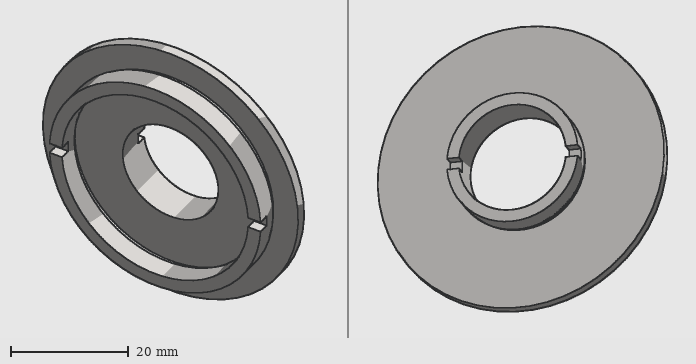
import cadquery as cq

overall_length = 12.0
flange_thickness = 2.0
neck_length = 1.0
collar_length = (overall_length - flange_thickness) / 2 - neck_length

flange_diameter = 50.8
front_collar_diameter = 42.0
front_neck_diameter = 41.0
recess_diameter = 37.05
undercut_diameter = 38.0
rear_collar_diameter = 23.2
rear_neck_diameter = 22.8
bore_diameter = 19.0

slot_width = 2.0
slot_depth = 2.0

flange_rear = flange_thickness / 2
flange_front = -flange_rear
rear_neck_end = flange_rear + neck_length
front_neck_end = flange_front - neck_length
rear_end = rear_neck_end + collar_length
front_end = front_neck_end - collar_length


def disc(diameter, y_start, y_end):
    """Solid cylinder along Y between two axial positions."""
    direction = cq.Vector(0, 1, 0)
    start = cq.Vector(0, y_start, 0)
    return cq.Workplane(cq.Solid.makeCylinder(diameter / 2, y_end - y_start, start, direction))


def slot(y_center):
    """Slot cutter along X; half of its height lies beyond the end face."""
    return cq.Workplane().box(flange_diameter, 2 * slot_depth, slot_width).translate((0, y_center, 0))


body = disc(flange_diameter, flange_front, flange_rear)
body = body.union(disc(front_neck_diameter, front_neck_end, flange_front))
body = body.union(disc(front_collar_diameter, front_end, front_neck_end))
body = body.union(disc(rear_neck_diameter, flange_rear, rear_neck_end))
body = body.union(disc(rear_collar_diameter, rear_neck_end, rear_end))

body = body.cut(disc(recess_diameter, front_end, flange_front))
body = body.cut(disc(undercut_diameter, front_neck_end, flange_front))
body = body.cut(disc(bore_diameter, front_end, rear_end))

for end_face in (front_end, rear_end):
    body = body.cut(slot(end_face))

result = body